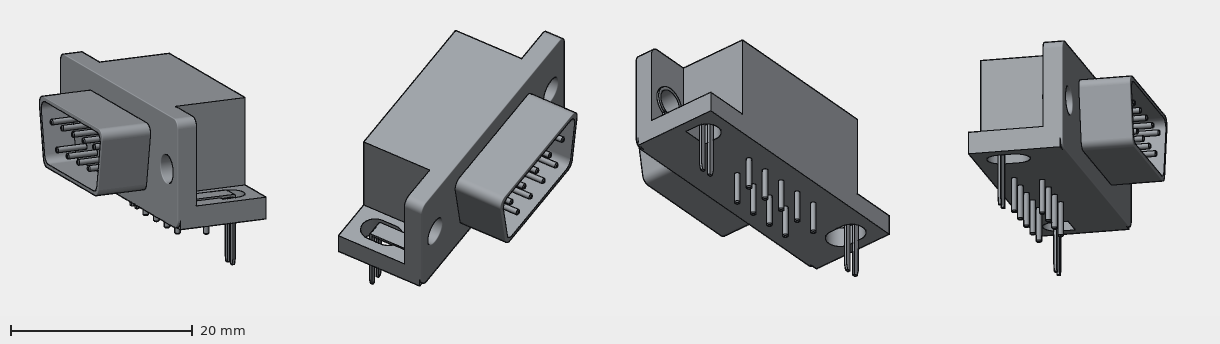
import cadquery as cq
import math


width = 30.8
height = 12.5
depth = 10.73
flange_depth = 2.27
corner_radius = 1.0
plate_thickness = 0.3
edge_radius = 0.1
block_width = 19.85
ledge_height = 2.5
center_z = height / 2

mount_x = 12.5
mount_hole_diameter = 3.2
slot_width = 3.2
slot_front_y = 6.08
slot_back_y = 7.73

overall_depth = 16.58
shell_length = overall_depth - depth
shell_height = 7.9
shell_top_width = 16.92
shell_slant = 10.0
shell_wall = 0.47
shell_radius = 1.0
shell_rim_radius = 0.05
shell_floor_y = -2.1

pin_diameter = 0.64
pin_chamfer = 0.13
pin_pitch = 2.77
row_pitch = 2.84
upper_count = 5
lower_count = 4
contact_recess = 0.15
tail_length = 3.9
upper_tail_y = 8.03

lock_width = 2.05
lock_thickness = 0.3
lock_rise = 0.2
lock_bend_radius = 0.18
lock_back_y = 7.85
lock_drop = 5.4
fork_gap = 0.8
fork_top = 2.4
tip_height = 0.75
tip_inset = 0.2
eyelet_diameter = 4.0
eyelet_thickness = 0.25

overlap = 0.3


def box(x0, x1, y0, y1, z0, z1):
    """Box between opposite corners."""
    return cq.Workplane("XY").box(x1 - x0, y1 - y0, z1 - z0, centered=False).translate((x0, y0, z0))


def rod_y(diameter, x, z, y0, y1):
    """Round rod along Y from y0 to y1."""
    return cq.Workplane("XZ", origin=(x, y0, z)).circle(diameter / 2).extrude(y0 - y1)


def make_housing():
    """Face plate, moulded flange, central block and ledge."""
    half = width / 2
    plate = box(-half, half, 0, plate_thickness, 0, height).edges("|Y").fillet(corner_radius)
    for x in (-mount_x, mount_x):
        plate = plate.cut(rod_y(mount_hole_diameter, x, center_z, 0, plate_thickness))
    plate = plate.faces("<Y").edges().fillet(edge_radius)
    flange = box(-half, half, plate_thickness, flange_depth, 0, height)
    flange = flange.edges("|Y and >Z").fillet(corner_radius)
    block = box(-block_width / 2, block_width / 2, flange_depth, depth, 0, height)
    ledge = box(-half, half, flange_depth, depth, 0, ledge_height)
    return flange.union(block).union(ledge).union(plate)


def slot_cutter(x, round_front):
    """Vertical slot through the ledge, round at the back and optionally at the front."""
    radius = slot_width / 2
    cutter = box(x - radius, x + radius, slot_front_y, slot_back_y, 0, ledge_height)
    ends = [slot_back_y]
    if round_front:
        ends.append(slot_front_y)
    for y in ends:
        cutter = cutter.union(cq.Workplane("XY", origin=(x, y, 0)).circle(radius).extrude(ledge_height))
    return cutter


def d_prism(inset, y0, y1):
    """D-shaped prism, inset evenly from the outside of the shell."""
    slant = math.radians(shell_slant)
    rise = shell_height / 2 - inset
    middle_half = shell_top_width / 2 - shell_height / 2 * math.tan(slant) - inset / math.cos(slant)
    top_half = middle_half + rise * math.tan(slant)
    bottom_half = middle_half - rise * math.tan(slant)
    outline = [(-top_half, rise), (top_half, rise), (bottom_half, -rise), (-bottom_half, -rise)]
    prism = cq.Workplane("XZ", origin=(0, y0, center_z)).polyline(outline).close().extrude(y0 - y1)
    return prism.edges("|Y").fillet(shell_radius)


def make_shell():
    """Thin-walled D shell around the contacts, with the contact insulator as its floor."""
    outside = d_prism(0, -shell_length, overlap).faces("<Y").edges().fillet(shell_rim_radius)
    return outside.cut(d_prism(shell_wall, -shell_length, shell_floor_y))


def make_contacts(count, z, tail_y):
    """One row of contacts: a mating pin toward -Y and a board tail toward -Z for each."""
    row = cq.Workplane("XY")
    for index in range(count):
        x = (index - (count - 1) / 2) * pin_pitch
        pin = rod_y(pin_diameter, x, z, contact_recess - shell_length, flange_depth)
        row = row.union(pin.faces("<Y").chamfer(pin_chamfer))
        tail = cq.Workplane("XY", origin=(x, tail_y, -tail_length)).circle(pin_diameter / 2)
        tail = tail.extrude(tail_length + overlap)
        row = row.union(tail.faces("<Z").chamfer(pin_chamfer))
    return row


def make_board_lock(x):
    """Bent strap with an eyelet behind the flange and a forked leg through the slot."""
    half = lock_width / 2
    top = ledge_height + lock_rise
    tab_back = flange_depth + lock_thickness
    tab_top = center_z - mount_hole_diameter / 2
    eyelet = rod_y(eyelet_diameter, x, center_z, flange_depth, flange_depth + eyelet_thickness)
    tab = box(x - half, x + half, flange_depth, tab_back, ledge_height, tab_top)
    strap = box(x - half, x + half, flange_depth, lock_back_y, top - lock_thickness, top)
    leg_outline = [
        (-half, top),
        (half, top),
        (half, tip_height - lock_drop),
        (half - tip_inset, -lock_drop),
        (tip_inset - half, -lock_drop),
        (-half, tip_height - lock_drop),
    ]
    leg = cq.Workplane("XZ", origin=(x, lock_back_y, 0)).polyline(leg_outline).close().extrude(lock_thickness)
    gap = box(x - fork_gap / 2, x + fork_gap / 2, 0, depth, -lock_drop, fork_top)
    bracket = strap.union(leg.cut(gap)).edges("|X and >Y and >Z").fillet(lock_bend_radius)
    return eyelet.union(tab).union(bracket)


result = make_housing()
result = result.cut(slot_cutter(-mount_x, True)).cut(slot_cutter(mount_x, False))
result = result.union(make_shell())
result = result.union(make_contacts(upper_count, center_z + row_pitch / 2, upper_tail_y))
result = result.union(make_contacts(lower_count, center_z - row_pitch / 2, upper_tail_y - row_pitch))
for lock_x in (-mount_x, mount_x):
    result = result.union(make_board_lock(lock_x))
    result = result.cut(rod_y(mount_hole_diameter, lock_x, center_z, 0, depth))